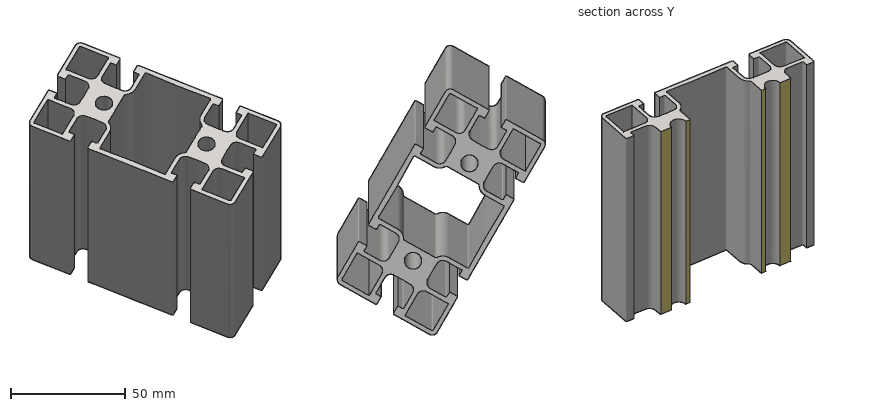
import cadquery as cq
import math

width = 100.0
depth = 50.0
length = 100.0
module = depth / 2

wall = 2.0
outer_radius = 2.5
inner_radius = 3.0
edge_radius = 0.5

mouth_width = 8.3
lip_thickness = 4.2
slot_width = 14.0
slot_depth = 15.2
floor_dip = 0.2

bore_diameter = 7.5
core_x = width / 2 - module

chamber_half_x = core_x - slot_width / 2 - wall
core_face_x = 18.9
shoulder_radius = 1.0
long_wall_side = 2.2
long_wall_middle = 2.5


def slot(face_x, face_y, angle):
    """T-slot cutter opening along +Y, turned by angle and moved to its face point."""
    half_mouth = mouth_width / 2
    half_slot = slot_width / 2
    pocket = (
        cq.Workplane("XY")
        .moveTo(-half_slot, -lip_thickness)
        .lineTo(-half_slot, -slot_depth)
        .lineTo(0, -slot_depth - floor_dip)
        .lineTo(half_slot, -slot_depth)
        .lineTo(half_slot, -lip_thickness)
        .close()
        .extrude(length)
    )
    pocket = pocket.edges("|Z and (<X or >X) and >Y").fillet(edge_radius)
    floor_corners = cq.selectors.BoxSelector(
        (-width, -slot_depth - floor_dip / 2, 0),
        (width, -slot_depth + floor_dip / 2, length),
    )
    pocket = pocket.edges("|Z").edges(floor_corners).fillet(inner_radius)
    arc_offset = edge_radius * (1 - math.sqrt(0.5))
    mouth = (
        cq.Workplane("XY")
        .moveTo(-half_mouth - edge_radius, 0)
        .threePointArc((-half_mouth - arc_offset, -arc_offset), (-half_mouth, -edge_radius))
        .lineTo(-half_mouth, -2 * lip_thickness)
        .lineTo(half_mouth, -2 * lip_thickness)
        .lineTo(half_mouth, -edge_radius)
        .threePointArc((half_mouth + arc_offset, -arc_offset), (half_mouth + edge_radius, 0))
        .close()
        .extrude(length)
    )
    turned = mouth.union(pocket).rotate((0, 0, 0), (0, 0, 1), angle)
    return turned.translate((face_x, face_y, 0))


def in_all_quadrants(quarter):
    """Body from the +X +Y quadrant together with its mirror images in the other three."""
    half = quarter.union(quarter.mirror("XZ"))
    return half.union(half.mirror("YZ"))


def corner_cavities():
    """Square hollows in the profile corners, with their large rounding towards the cores."""
    size = module - slot_width / 2 - 2 * wall
    cavity = (
        cq.Workplane("XY")
        .box(size, size, length, centered=(True, True, False))
        .edges("|Z and <X and <Y")
        .fillet(inner_radius)
        .edges("|Z and >X and >Y")
        .fillet(edge_radius)
        .translate((width / 2 - wall - size / 2, depth / 2 - wall - size / 2, 0))
    )
    return in_all_quadrants(cavity)


def chamber():
    """Central hollow; its shoulders run concentric with the slot floor corners."""
    arc_radius = inner_radius + wall
    arc_x = core_x - slot_width / 2 + inner_radius
    arc_y = module - slot_depth + inner_radius
    core_face_y = arc_y - math.sqrt(arc_radius**2 - (arc_x - core_face_x) ** 2)
    end_angle = math.atan2(core_face_y - arc_y, core_face_x - arc_x)
    mid_angle = (end_angle - math.pi) / 2
    mid_x = arc_x + arc_radius * math.cos(mid_angle)
    mid_y = arc_y + arc_radius * math.sin(mid_angle)
    quarter = (
        cq.Workplane("XY")
        .lineTo(core_face_x, 0)
        .lineTo(core_face_x, core_face_y)
        .threePointArc((mid_x, mid_y), (chamber_half_x, arc_y))
        .lineTo(chamber_half_x, module - long_wall_side)
        .lineTo(0, module - long_wall_middle)
        .close()
        .extrude(length)
        .edges("|Z and >Y")
        .fillet(edge_radius)
        .edges(cq.selectors.NearestToPointSelector((core_face_x, core_face_y, length / 2)))
        .fillet(shoulder_radius)
    )
    return in_all_quadrants(quarter)


def bores():
    """Screw bores running the full length of both cores."""
    centres = [(-core_x, 0), (core_x, 0)]
    return cq.Workplane("XY").pushPoints(centres).circle(bore_diameter / 2).extrude(length)


result = (
    cq.Workplane("XY")
    .box(width, depth, length, centered=(True, True, False))
    .edges("|Z")
    .fillet(outer_radius)
    .cut(chamber())
    .cut(corner_cavities())
    .cut(bores())
)

for side_x in (-1, 1):
    result = result.cut(slot(side_x * width / 2, 0, -90 * side_x))
    for side_y in (-1, 1):
        result = result.cut(slot(side_x * core_x, side_y * depth / 2, 90 - 90 * side_y))